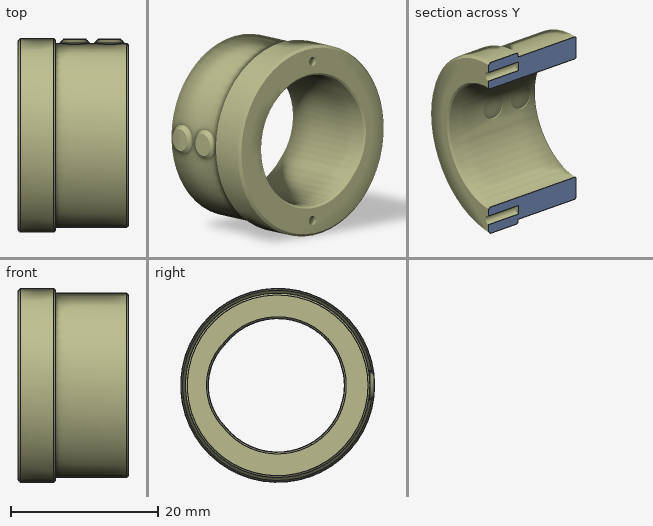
import cadquery as cq

bushing_length = 15.0
flange_length = 5.1
flange_diameter = 26.3
barrel_diameter = 25.0
flange_face_chamfer = 0.35
edge_chamfer = 0.25

bore_diameter = 18.1
relief_diameter = 16.0
relief_offset = 1.4

pin_hole_diameter = 1.25
pin_hole_radius = 11.0
pin_hole_depth = flange_length

screw_diameter = 4.0
screw_length = 3.9
screw_tip_diameter = 3.25
screw_head_chamfer = 0.5
screw_tip_chamfer = (screw_diameter - screw_tip_diameter) / 2
screw_tip_recess = 0.1
screw_tip_y = bore_diameter / 2 + screw_tip_recess
screw_spacing = 4.7
barrel_middle = (flange_length + bushing_length) / 2
screw_positions = [barrel_middle - screw_spacing / 2, barrel_middle + screw_spacing / 2]


def cylinder_along_x(diameter, length, y=0, z=0):
    return cq.Workplane("YZ").center(y, z).circle(diameter / 2).extrude(length)


def cylinder_along_y(diameter, length, x, y):
    return cq.Workplane("XZ", origin=(x, y, 0)).circle(diameter / 2).extrude(-length)


def bore_cutter(diameter, y):
    """Through bore along X that widens by the edge chamfer at both ends."""
    radius = diameter / 2
    wide_radius = radius + edge_chamfer
    profile = [
        (0, 0),
        (0, wide_radius),
        (edge_chamfer, radius),
        (bushing_length - edge_chamfer, radius),
        (bushing_length, wide_radius),
        (bushing_length, 0),
    ]
    cutter = cq.Workplane("XY").polyline(profile).close().revolve(360, (0, 0, 0), (1, 0, 0))
    return cutter.translate((0, y, 0))


def make_set_screw(x):
    screw = cylinder_along_y(screw_diameter, screw_length, x, screw_tip_y)
    screw = screw.faces(">Y").chamfer(screw_head_chamfer)
    return screw.faces("<Y").chamfer(screw_tip_chamfer)


def screw_hole_cutter(x):
    """Seat that matches the screw below its head chamfer, opened into the bore at the tip."""
    seat = cylinder_along_y(screw_diameter, screw_length, x, screw_tip_y)
    seat = seat.faces("<Y").chamfer(screw_tip_chamfer)
    return seat.union(cylinder_along_y(screw_tip_diameter, screw_tip_y, x, 0))


def make_bushing():
    flange = cylinder_along_x(flange_diameter, flange_length)
    flange = flange.faces("<X").chamfer(flange_face_chamfer)
    flange = flange.faces(">X").chamfer(edge_chamfer)

    barrel = cylinder_along_x(barrel_diameter, bushing_length)
    barrel = barrel.faces(">X").chamfer(edge_chamfer)
    body = flange.union(barrel)

    body = body.cut(bore_cutter(bore_diameter, 0))
    body = body.cut(bore_cutter(relief_diameter, -relief_offset))

    for z in (pin_hole_radius, -pin_hole_radius):
        body = body.cut(cylinder_along_x(pin_hole_diameter, pin_hole_depth, z=z))

    for x in screw_positions:
        body = body.cut(screw_hole_cutter(x))
    return body


bushing = make_bushing()
set_screws = [make_set_screw(x) for x in screw_positions]

result = cq.Compound.makeCompound([bushing.val(), *[screw.val() for screw in set_screws]])